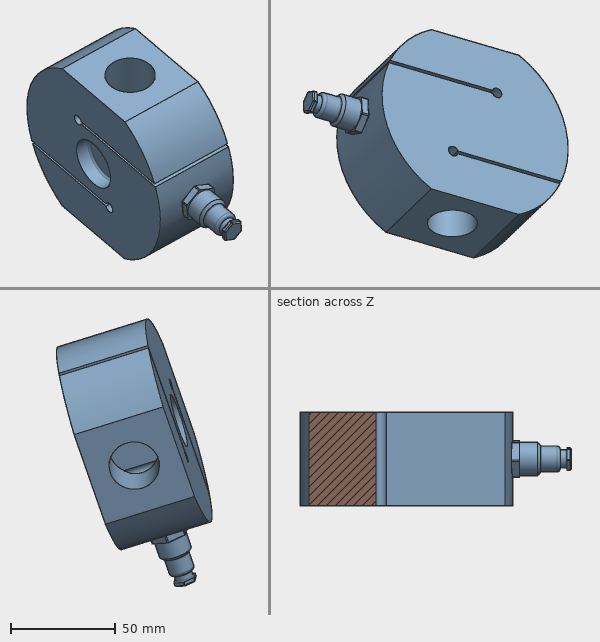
import cadquery as cq
import math


TOTAL_LENGTH = 130.0
DISC_RADIUS = 51.0
BODY_THICKNESS = 45.0
BODY_HEIGHT = 90.0

SLOT_OFFSET = 20.0
SLOT_WIDTH = 1.5
RELIEF_RADIUS = 2.6
RELIEF_OFFSET = 12.0

LOAD_HOLE_DIAMETER = 24.0
RECESS_DIAMETER = 26.0
RECESS_DEPTH = 8.0
RECESS_FILLET = 1.0

TWIST = 24.5
NUT_START = 50.5
NUT_END = 54.2
NUT_FLATS = 17.0
NUT_CORNER_DIAMETER = 19.2
SLEEVE_END = 64.2
SLEEVE_RADIUS = 8.0
ROOT_FILLET = 0.4
STEM_END = 73.7
STEM_RADIUS = 6.2
STEM_FILLET = 1.5
NECK_RADIUS = 4.4
CAP_LENGTH = 2.2
CAP_FLATS = 10.4
CAP_CORNER_DIAMETER = 11.7
CAP_CHAMFER = 0.6

TIP = TOTAL_LENGTH - DISC_RADIUS
CAP_START = TIP - CAP_LENGTH


def hex_prism(start, end, across_flats, corner_diameter):
    """Hexagonal prism along X whose corners are turned down to a cylinder."""
    sharp_diameter = across_flats / math.cos(math.radians(30))
    plane = cq.Workplane("YZ", origin=(start, 0, 0))
    prism = plane.polygon(6, sharp_diameter).extrude(end - start)
    turned = plane.circle(corner_diameter / 2).extrude(end - start)
    return prism.intersect(turned)


def make_nut():
    return hex_prism(NUT_START, NUT_END, NUT_FLATS, NUT_CORNER_DIAMETER)


def make_barrel():
    """Turned part of the connector: chamfered sleeve, rounded stem and neck."""
    edge_cut = STEM_FILLET * (1 - math.sqrt(0.5))
    root_cut = ROOT_FILLET * (1 - math.sqrt(0.5))
    sleeve_chamfer = SLEEVE_RADIUS - STEM_RADIUS - ROOT_FILLET
    return (
        cq.Workplane("XY")
        .moveTo(NUT_END, 0)
        .lineTo(NUT_END, -SLEEVE_RADIUS)
        .lineTo(SLEEVE_END - sleeve_chamfer, -SLEEVE_RADIUS)
        .lineTo(SLEEVE_END, -STEM_RADIUS - ROOT_FILLET)
        .threePointArc(
            (SLEEVE_END + root_cut, -STEM_RADIUS - root_cut),
            (SLEEVE_END + ROOT_FILLET, -STEM_RADIUS),
        )
        .lineTo(STEM_END - STEM_FILLET, -STEM_RADIUS)
        .threePointArc(
            (STEM_END - edge_cut, edge_cut - STEM_RADIUS),
            (STEM_END, STEM_FILLET - STEM_RADIUS),
        )
        .lineTo(STEM_END, -NECK_RADIUS)
        .lineTo(CAP_START - ROOT_FILLET, -NECK_RADIUS)
        .threePointArc(
            (CAP_START - root_cut, -NECK_RADIUS - root_cut),
            (CAP_START, -NECK_RADIUS - ROOT_FILLET),
        )
        .lineTo(CAP_START, 0)
        .close()
        .revolve(360, (0, 0, 0), (1, 0, 0))
    )


def make_cap():
    cap = hex_prism(CAP_START, TIP, CAP_FLATS, CAP_CORNER_DIAMETER)
    return cap.faces(">X").chamfer(CAP_CHAMFER)


def make_connector():
    connector = make_nut().union(make_barrel()).union(make_cap())
    return connector.rotate((0, 0, 0), (1, 0, 0), -TWIST)


def make_slot(side):
    """Slot cut in from the rim; side is +1 for the upper slot and -1 for the lower."""
    length = DISC_RADIUS + RELIEF_OFFSET
    slot = cq.Workplane("XY").box(length, BODY_THICKNESS, SLOT_WIDTH)
    slot = slot.translate((side * (length / 2 - RELIEF_OFFSET), 0, side * SLOT_OFFSET))
    relief = (
        cq.Workplane("XZ")
        .center(-side * RELIEF_OFFSET, side * SLOT_OFFSET)
        .circle(RELIEF_RADIUS)
        .extrude(BODY_THICKNESS / 2, both=True)
    )
    return slot.union(relief)


def make_load_hole(side):
    """Hole from one flat to the far wall of the slot next to it."""
    slot_wall = side * (SLOT_OFFSET - SLOT_WIDTH / 2)
    depth = BODY_HEIGHT / 2 - abs(slot_wall)
    plane = cq.Workplane("XY", origin=(0, 0, slot_wall))
    return plane.circle(LOAD_HOLE_DIAMETER / 2).extrude(side * depth)


def make_recess():
    plane = cq.Workplane("XZ", origin=(0, RECESS_DEPTH - BODY_THICKNESS / 2, 0))
    recess = plane.circle(RECESS_DIAMETER / 2).extrude(RECESS_DEPTH)
    return recess.faces(">Y").edges().fillet(RECESS_FILLET)


def make_body(connector):
    disc = cq.Workplane("XZ").circle(DISC_RADIUS).extrude(BODY_THICKNESS / 2, both=True)
    flats = cq.Workplane("XY").box(2 * DISC_RADIUS, BODY_THICKNESS, BODY_HEIGHT)
    body = disc.intersect(flats).cut(make_recess())
    for side in (1, -1):
        body = body.cut(make_slot(side)).cut(make_load_hole(side))
    return body.cut(connector)


connector = make_connector()
body = make_body(connector)

result = cq.Compound.makeCompound([body.solids().val(), connector.solids().val()])